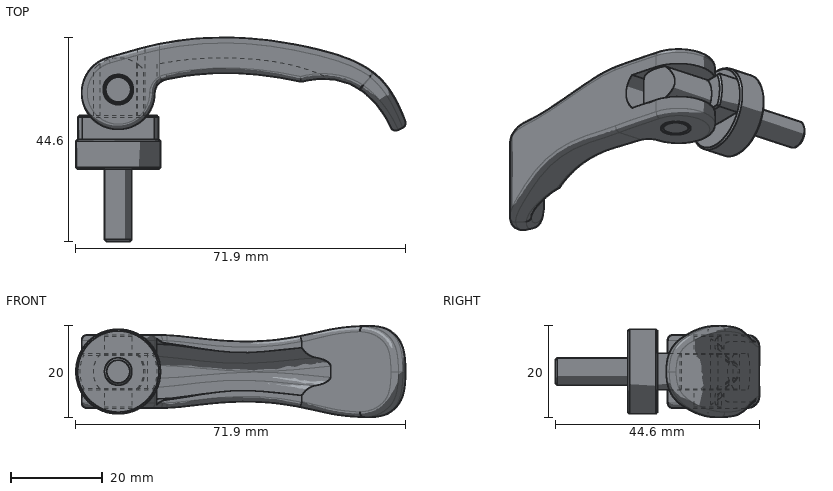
import cadquery as cq
import math


shank_dia = 6.0
shank_end_y = -33.2
shank_chamfer = 0.5
foot_dia = 18.5
foot_bottom_y = -17.35
foot_top_y = -10.85
foot_chamfer = 0.4
block_dia = 17.6
block_width = 8.0
block_top_y = -5.65
block_chamfer = 0.4
tongue_dia = 11.0
tongue_width = 7.6
tongue_top_radius = 7.0

pin_dia = 6.0
pin_chamfer = 0.3

hub_radius = 8.0
hub_center_y = -0.7
hub_far_angle = math.radians(225)
lever_root_width = 16.0
fork_slot_width = block_width
fork_slot_radius = 5.75

back_slope = 0.28
back_points = [(8.1, 9.8), (24.6, 11.38), (40.4, 9.5), (54.4, 4.6)]
tip_direction = (0.35, -1)
tip_back = (63.1, -8.2)
tip_under = (60.0, -9.8)
grip_start = (40.0, 1.65)
grip_points = [(43.8, 2.3), (50.6, 1.2), (56.2, -3.1)]
under_points = [(29.1, 3.34), (20.0, 3.5)]
under_start = (10.6, 2.2)
hub_exit = (hub_radius, hub_center_y)
neck_middle = (8.7, 1.1)

waist_points = [(17.6, 7.26), (28.0, 6.55), (40.0, 7.8), (47.4, 9.4)]
straight_end_x = 9.0
grip_widest = (56.0, 10.0)

blade_normal_angle = math.radians(26.6)
corner_start = 21.5
corner_middle = (30.3, 8.0)
corner_tip = 35.25

edge_fillet = 1.2
outline_margin = 15.0

channel_stations = [
    (8.4, 2.0, 5.6, 6.0, 3.4, 1.4),
    (17.6, 3.4, 6.8, 5.0, 2.4, 0.8),
    (28.0, 3.4, 6.8, 4.2, 1.85, 0.1),
    (40.0, 1.65, 4.8, 5.2, 2.8, 0.6),
    (47.0, -0.6, 1.9, 5.2, 3.0, 1.3),
]
channel_open_depth = 3.0

rim_slope = 0.4
wall_slope = 2.0
floor_slope = 0.15


def cylinder_along_y(diameter, bottom_y, top_y):
    height = top_y - bottom_y
    return cq.Workplane("XZ", origin=(0, bottom_y, 0)).circle(diameter / 2).extrude(-height)


def flattened(body, width):
    """Keep only the part of a body between two flats at equal distances from Z = 0."""
    slab_size = 4 * foot_dia
    slab = cq.Workplane("XY").box(slab_size, slab_size, width)
    return body.intersect(slab)


def make_stud():
    shank = cylinder_along_y(shank_dia, shank_end_y, foot_bottom_y).faces("<Y").chamfer(shank_chamfer)
    foot = cylinder_along_y(foot_dia, foot_bottom_y, foot_top_y).faces("<Y or >Y").chamfer(foot_chamfer)
    block = cylinder_along_y(block_dia, foot_top_y, block_top_y)
    block = flattened(block, block_width).faces(">Y").chamfer(block_chamfer)

    tongue = cylinder_along_y(tongue_dia, block_top_y, tongue_top_radius)
    root_height = 2 * tongue_top_radius
    rounded_top = (
        cq.Workplane("XY")
        .moveTo(-tongue_top_radius, -root_height)
        .lineTo(-tongue_top_radius, 0)
        .threePointArc((0, tongue_top_radius), (tongue_top_radius, 0))
        .lineTo(tongue_top_radius, -root_height)
        .close()
        .extrude(tongue_width / 2, both=True)
    )
    tongue = flattened(tongue, tongue_width).intersect(rounded_top)

    pin = cq.Workplane("XY").circle(pin_dia / 2).extrude(lever_root_width / 2, both=True)
    pin = pin.faces("<Z or >Z").chamfer(pin_chamfer)
    return shank.union(foot).union(block).union(tongue).union(pin)


def lever_side_profile():
    """Outline of the lever in the XY plane: cam hub, arm and hooked grip."""
    slope_angle = math.atan(back_slope)
    back_tangency = (
        -hub_radius * math.sin(slope_angle),
        hub_center_y + hub_radius * math.cos(slope_angle),
    )
    hub_far = (
        hub_radius * math.cos(hub_far_angle),
        hub_center_y + hub_radius * math.sin(hub_far_angle),
    )
    return (
        cq.Workplane("XY")
        .moveTo(*back_tangency)
        .spline(back_points + [tip_back], tangents=[(1, back_slope), tip_direction], includeCurrent=True)
        .lineTo(*tip_under)
        .spline(grip_points[::-1] + [grip_start], includeCurrent=True)
        .spline(under_points + [under_start], includeCurrent=True)
        .threePointArc(neck_middle, hub_exit)
        .threePointArc(hub_far, back_tangency)
        .close()
    )


def lever_plan():
    """Prism along Y with the waisted outline of the lever; its far end is left long and straight."""
    half_root = lever_root_width / 2
    far_x = grip_widest[0] + outline_margin
    return (
        cq.Workplane("XZ", origin=(0, -outline_margin, 0))
        .moveTo(-outline_margin, 0)
        .lineTo(-outline_margin, half_root)
        .lineTo(straight_end_x, half_root)
        .spline(waist_points + [grip_widest], tangents=[(1, 0), (1, 0)], includeCurrent=True)
        .lineTo(far_x, grip_widest[1])
        .lineTo(far_x, 0)
        .mirrorX()
        .extrude(-2 * outline_margin)
    )


def grip_end():
    """Prism square to the blade of the grip that rounds its end."""
    normal = cq.Vector(math.cos(blade_normal_angle), math.sin(blade_normal_angle), 0)
    down_blade = cq.Vector(normal.y, -normal.x, 0)
    half_length = 4 * outline_margin
    half_width = grip_widest[1]
    return (
        cq.Workplane(cq.Plane(origin=(0, 0, 0), xDir=down_blade, normal=normal))
        .moveTo(-half_length, 0)
        .lineTo(-half_length, 2 * half_width)
        .lineTo(corner_start, 2 * half_width)
        .lineTo(corner_start, half_width)
        .spline([corner_middle, (corner_tip, 0)], tangents=[(1, 0), (0, -1)], includeCurrent=True)
        .mirrorX()
        .extrude(2 * half_length, both=True)
    )


def make_channel():
    """Tapering groove with S-shaped walls, lofted through sections along X."""
    wires = []
    for x, rim_y, floor_y, rim, middle, floor in channel_stations:
        wall_y = (rim_y + floor_y) / 2
        open_y = rim_y - channel_open_depth
        upper_wall = [(rim, rim_y), (middle, wall_y), (floor, floor_y)]
        lower_wall = [(-z, y) for z, y in upper_wall[::-1]]
        plane = cq.Plane(origin=(x, 0, 0), xDir=(0, 0, 1), normal=(-1, 0, 0))
        section = (
            cq.Workplane(plane)
            .moveTo(rim + channel_open_depth, open_y)
            .lineTo(*upper_wall[0])
            .spline(upper_wall[1:2], tangents=[(-1, rim_slope), (-1, wall_slope)], includeCurrent=True)
            .spline(upper_wall[2:], tangents=[(-1, wall_slope), (-1, floor_slope)], includeCurrent=True)
            .lineTo(*lower_wall[0])
            .spline(lower_wall[1:2], tangents=[(-1, -floor_slope), (-1, -wall_slope)], includeCurrent=True)
            .spline(lower_wall[2:], tangents=[(-1, -wall_slope), (-1, -rim_slope)], includeCurrent=True)
            .lineTo(-rim - channel_open_depth, open_y)
            .close()
        )
        wires.append(section.val())
    return cq.Workplane(cq.Solid.makeLoft(wires))


def make_fork_slot():
    """Slot for the tongue, open to -X, with a concave end about the stud axis and room for the block."""
    length = 2 * outline_margin
    end = cylinder_along_y(2 * fork_slot_radius, -outline_margin, outline_margin)
    mouth = cq.Workplane("XY").box(length, length, length).translate((-length / 2, 0, 0))
    block_recess = cylinder_along_y(block_dia, -outline_margin, block_top_y)
    return flattened(end.union(mouth).union(block_recess), fork_slot_width)


def make_pin_hole():
    """Through hole for the pin, chamfered at both sides of the lever."""
    half_length = lever_root_width / 2
    radius = pin_dia / 2
    flared = radius + pin_chamfer
    return (
        cq.Workplane("XZ")
        .moveTo(0, -half_length)
        .lineTo(flared, -half_length)
        .lineTo(radius, -half_length + pin_chamfer)
        .lineTo(radius, half_length - pin_chamfer)
        .lineTo(flared, half_length)
        .lineTo(0, half_length)
        .close()
        .revolve(360, (0, 0, 0), (0, 1, 0))
    )


def make_lever():
    blank = lever_side_profile().extrude(2 * outline_margin).translate((0, 0, -outline_margin))
    blank = blank.intersect(lever_plan()).intersect(grip_end())
    lever = blank.edges("not %LINE").fillet(edge_fillet)

    return lever.cut(make_channel()).cut(make_fork_slot()).cut(make_pin_hole())


lever = make_lever()
stud = make_stud()
result = cq.Compound.makeCompound([lever.val(), stud.val()])